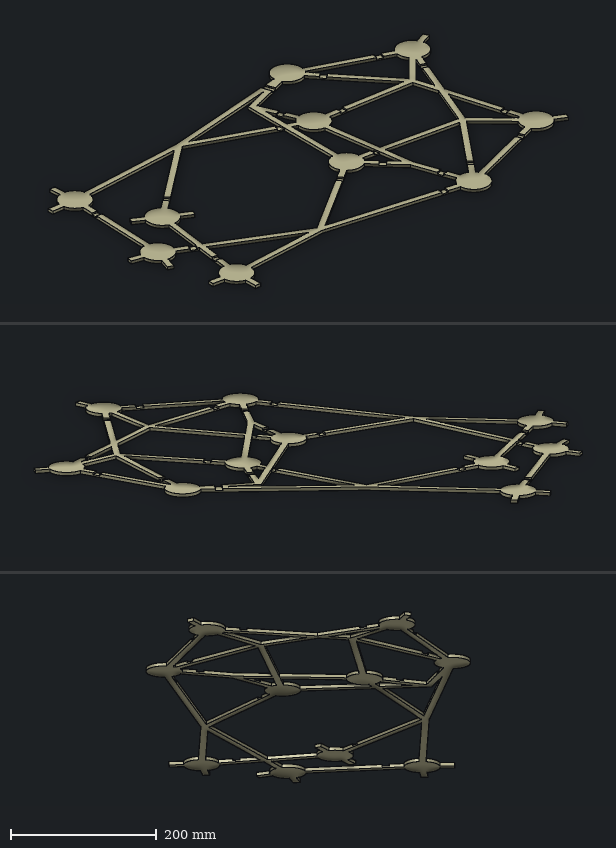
import cadquery as cq
import math

THICKNESS = 5.0
DISC_RADIUS = 25.0
STRUT_WIDTH = 2 * THICKNESS
STUB_REACH = 45.0
GROOVE_LENGTH = STRUT_WIDTH
GROOVE_DEPTH = THICKNESS / 2

DISCS = {
    "top": (17.0, 335.5),
    "upper left": (-115.5, 207.0),
    "upper right": (250.0, 218.0),
    "middle": (-29.5, 97.0),
    "centre": (56.0, 9.0),
    "right": (238.0, 27.0),
    "far left": (-245.0, -234.0),
    "low inner": (-116.0, -231.5),
    "low left": (-83.5, -325.0),
    "low right": (39.0, -337.0),
}

BEND = (-123.0, 102.0)

JUNCTIONS = [
    ((51.0, 254.0), {"top": False, "upper left": True, "upper right": True, "middle": True}),
    ((156.5, 181.0), {"top": True, "upper right": False, "right": True, "centre": True}),
    ((140.0, 39.5), {"middle": False, "right": True, "centre": True}),
    (BEND, {"upper left": True, "middle": True, "centre": False}),
    ((-173.0, -38.0), {"upper left": True, "middle": True, "far left": False, "low inner": True}),
    ((96.5, -180.0), {"low right": False, "low left": True, "centre": True, "right": True}),
]

DIRECT_STRUTS = [
    ("top", "upper left"),
    ("upper right", "right"),
    ("low right", "low inner"),
    ("far left", "low left"),
]

STUBS = [
    ("top", 87.8),
    ("upper right", 38),
    ("far left", 156.9),
    ("far left", -115.6),
    ("low inner", 36.7),
    ("low inner", -144.2),
    ("low left", -127.6),
    ("low left", -44),
    ("low right", -119.5),
    ("low right", -25.7),
]


def bar(start, angle, near, far, base, height):
    """Box of strut width along the ray from start at angle, from distance near to distance far."""
    return (
        cq.Workplane("XY", origin=(start[0], start[1], base))
        .transformed(rotate=(0, 0, angle))
        .center((near + far) / 2, 0)
        .rect(far - near, STRUT_WIDTH)
        .extrude(height)
    )


def heading(start, end):
    return math.degrees(math.atan2(end[1] - start[1], end[0] - start[0]))


def strut(start, end):
    return bar(start, heading(start, end), 0, math.dist(start, end), 0, THICKNESS)


def groove(disc, end):
    """Cutter for the half-depth notch across the top of a strut, one stub reach from its disc."""
    near_wall = STUB_REACH
    far_wall = near_wall + GROOVE_LENGTH
    return bar(disc, heading(disc, end), near_wall, far_wall, THICKNESS - GROOVE_DEPTH, GROOVE_DEPTH)


def grooved_strut(disc, end):
    return strut(disc, end).cut(groove(disc, end))


def outer_corner(junction, left_end, right_end):
    """Kite that squares off the outside of the bend where two struts meet, as a mitre would.

    The bend opens on the left of the strut to left_end and on the right of the strut to right_end.
    """
    left_side = math.radians(heading(junction, left_end) + 90)
    right_side = math.radians(heading(junction, right_end) - 90)
    half_turn = (right_side - left_side) % (2 * math.pi) / 2
    tip_reach = STRUT_WIDTH / 2 / math.cos(half_turn)
    rays = [
        (left_side, STRUT_WIDTH / 2),
        (left_side + half_turn, tip_reach),
        (right_side, STRUT_WIDTH / 2),
    ]
    rim = [(junction[0] + reach * math.cos(a), junction[1] + reach * math.sin(a)) for a, reach in rays]
    return cq.Workplane("XY").polyline([junction] + rim).close().extrude(THICKNESS)


web = cq.Workplane("XY").pushPoints(list(DISCS.values())).circle(DISC_RADIUS).extrude(THICKNESS)

for junction, arms in JUNCTIONS:
    for name, grooved in arms.items():
        arm = grooved_strut if grooved else strut
        web = web.union(arm(DISCS[name], junction))

web = web.union(outer_corner(BEND, DISCS["upper left"], DISCS["centre"]))

for first, second in DIRECT_STRUTS:
    web = web.union(grooved_strut(DISCS[first], DISCS[second]))

for name, angle in STUBS:
    web = web.union(bar(DISCS[name], angle, 0, STUB_REACH, 0, THICKNESS))

result = web